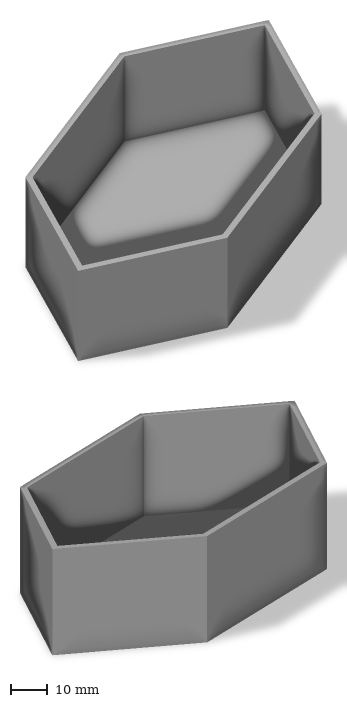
import cadquery as cq

side = 85.2
height = 31.6
corner_cut = 42.1
wall = 1.8
floor = 1.8

half = side / 2
cut_end = half - corner_cut

outline = [
    (-half, half),
    (cut_end, half),
    (half, cut_end),
    (half, -half),
    (-cut_end, -half),
    (-half, -cut_end),
]

body = cq.Workplane("XY").polyline(outline).close().extrude(height)

pocket = (
    cq.Workplane("XY")
    .workplane(offset=floor)
    .polyline(outline)
    .close()
    .offset2D(-wall)
    .extrude(height - floor)
)

result = body.cut(pocket)